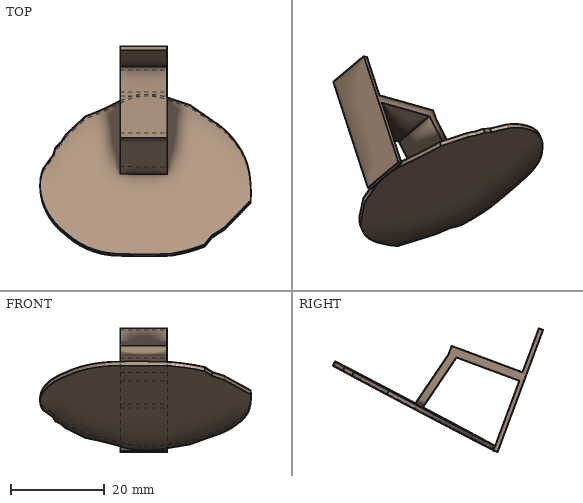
import cadquery as cq
import math

STRAP_WIDTH = 10.0
STRAP_THICKNESS = 1.0
STRAP_LENGTH = 27.85
STRAP_TILT = 20.4

ARM_THICKNESS = 2 * STRAP_THICKNESS
ARM_REACH = 17.12
ARM_TOP = STRAP_LENGTH - STRAP_WIDTH
LEG_THICKNESS = 1.8
LEG_SPLAY = 13.6

PLATE_THICKNESS = 1.0
PLATE_SLOPE = 7.4
PLATE_ROLL = 0.3
PLATE_BASE = 0.95

RIM_START = (-12.4, 6.35)
RIM_STRETCHES = [
    [(-8.65, 4.65), (-5.05, 2.6)],
    [(0.68, 0.85), (5.05, 1.8)],
    [(9.82, 3.55)],
    [(14.4, 7.15)],
    [(16.0, 8.35), (19.83, 12.8)],
    [(21.65, 16.25), (22.58, 19.9)],
    [(22.9, 23.4), (22.9, 26.55)],
    [(17.2, 33.15)],
    [(14.65, 34.95)],
    [(13.0, 37.2)],
    [(8.4, 38.9), (5.8, 39.47)],
    [(0.23, 39.6), (-5.05, 39.5)],
    [(-11.35, 38.2), (-16.35, 34.75)],
    [(-21.15, 28.1), (-22.12, 23.0)],
    [(-22.05, 21.45), (-21.45, 19.05)],
    [(-19.3, 15.7)],
    [(-18.9, 14.0)],
    [(-17.6, 12.6)],
    [(-16.65, 10.85)],
]


def side_prism(points):
    """Extrude a (depth, height) outline across the strap width; depth runs towards -Y."""
    outline = [(-depth, height) for depth, height in points]
    return cq.Workplane("YZ").polyline(outline).close().extrude(STRAP_WIDTH / 2, both=True)


def leg_foot(depth, height):
    """Follow the leg down from (depth, height) to the mid-plane of the plate."""
    splay = math.tan(math.radians(LEG_SPLAY))
    slope = math.tan(math.radians(PLATE_SLOPE))
    mid_base = PLATE_BASE - PLATE_THICKNESS / 2
    foot_height = (mid_base + (depth + height * splay) * slope) / (1 + splay * slope)
    return depth + (height - foot_height) * splay, foot_height


def make_strap():
    return side_prism([
        (0, 0),
        (STRAP_THICKNESS, 0),
        (STRAP_THICKNESS, STRAP_LENGTH),
        (0, STRAP_LENGTH),
    ])


def make_arm_and_leg():
    arm_bottom = ARM_TOP - ARM_THICKNESS
    knee_depth = ARM_REACH - LEG_THICKNESS / math.cos(math.radians(LEG_SPLAY))
    return side_prism([
        (0, arm_bottom),
        (0, ARM_TOP),
        (ARM_REACH, ARM_TOP),
        (ARM_REACH, arm_bottom),
        leg_foot(ARM_REACH, arm_bottom),
        leg_foot(knee_depth, arm_bottom),
        (knee_depth, arm_bottom),
    ])


def make_plate():
    rim = cq.Workplane("XY").moveTo(RIM_START[0], -RIM_START[1])
    for stretch in RIM_STRETCHES:
        points = [(across, -along) for across, along in stretch]
        if len(points) == 1:
            rim = rim.lineTo(*points[0])
        else:
            rim = rim.threePointArc(*points)
    plate = rim.close().extrude(-PLATE_THICKNESS)
    rolled = plate.rotate((0, 0, 0), (0, 1, 0), PLATE_ROLL)
    sloped = rolled.rotate((0, 0, 0), (1, 0, 0), -PLATE_SLOPE)
    return sloped.translate((0, 0, PLATE_BASE))


upright_part = make_strap().union(make_arm_and_leg()).union(make_plate())
result = upright_part.rotate((0, 0, 0), (1, 0, 0), -STRAP_TILT)